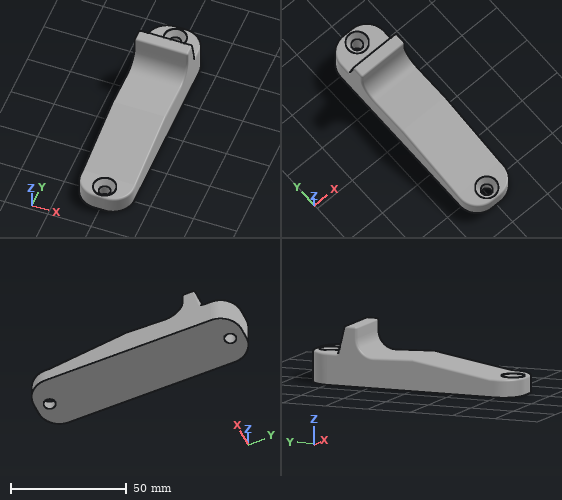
import cadquery as cq
import math

WIDTH = 25.0
LENGTH = 99.0
HEIGHT = 26.5

BACK_HEIGHT = 14.0
FRONT_HEIGHT = 8.0
CREST_HEIGHT = 14.0
CREST_POSITION = 50.5
RAMP_END = 87.0
LIP_FOOT = 15.0
LIP_TOP_BACK = 18.0
LIP_FRONT = 24.0
CRADLE_RADIUS = 8.0
CRADLE_FLOOR = 13.3
CRADLE_FLAT = 0.3

CORNER_RADIUS = 10.0
EDGE_RADIUS = 1.0
LIP_FOOT_RADIUS = 1.0

HOLE_DIAMETER = 5.2
COUNTERSINK_DIAMETER = 10.2
COUNTERSINK_ANGLE = 90.0
COUNTERSINK_RIM = 0.3
HOLE_END_DISTANCE = 6.5

TOLERANCE = 0.01
BACK_Y = LENGTH / 2


def y_at(distance):
    """Y coordinate of a point at the given distance from the back end."""
    return BACK_Y - distance


def make_blank():
    """Side profile extruded across the width, before any rounding."""
    cradle_center_y = y_at(LIP_FRONT + CRADLE_RADIUS)
    cradle_center_z = CRADLE_FLOOR + CRADLE_RADIUS
    diagonal = CRADLE_RADIUS * math.sqrt(0.5)
    return (
        cq.Workplane("YZ")
        .moveTo(y_at(0), 0)
        .lineTo(y_at(0), BACK_HEIGHT)
        .lineTo(y_at(LIP_FOOT), BACK_HEIGHT)
        .lineTo(y_at(LIP_TOP_BACK), HEIGHT)
        .lineTo(y_at(LIP_FRONT), HEIGHT)
        .lineTo(y_at(LIP_FRONT), cradle_center_z)
        .threePointArc(
            (cradle_center_y + diagonal, cradle_center_z - diagonal),
            (cradle_center_y, CRADLE_FLOOR),
        )
        .lineTo(cradle_center_y - CRADLE_FLAT, CRADLE_FLOOR)
        .lineTo(y_at(CREST_POSITION), CREST_HEIGHT)
        .lineTo(y_at(RAMP_END), FRONT_HEIGHT)
        .lineTo(y_at(LENGTH), FRONT_HEIGHT)
        .lineTo(y_at(LENGTH), 0)
        .close()
        .extrude(WIDTH / 2, both=True)
    )


def edge_across(body, distance, height):
    """The edge running across the width at one point of the side profile."""
    y = y_at(distance)
    return body.edges(
        cq.selectors.BoxSelector(
            (-WIDTH, y - TOLERANCE, height - TOLERANCE),
            (WIDTH, y + TOLERANCE, height + TOLERANCE),
        )
    )


def round_corners(body):
    """Round the four vertical corners of the footprint."""
    footprint = (
        cq.Workplane("XY")
        .rect(WIDTH, LENGTH)
        .extrude(HEIGHT)
        .edges("|Z")
        .fillet(CORNER_RADIUS)
    )
    return body.intersect(footprint)


def round_upper_edges(body):
    """Round the foot and the top of the lip, then both upper side outlines."""
    body = edge_across(body, LIP_FOOT, BACK_HEIGHT).fillet(LIP_FOOT_RADIUS)
    body = body.faces(">Z").edges("|X").fillet(EDGE_RADIUS)
    upper_edges = body.edges(
        cq.selectors.BoxSelector(
            (-WIDTH, -LENGTH, FRONT_HEIGHT - TOLERANCE),
            (WIDTH, LENGTH, HEIGHT + TOLERANCE),
        )
    )
    return upper_edges.edges("not(|X)").fillet(EDGE_RADIUS)


def countersunk_hole(distance, top_height):
    """Cutter for a countersunk through hole opening at the given height."""
    hole_radius = HOLE_DIAMETER / 2
    sink_radius = COUNTERSINK_DIAMETER / 2
    cone_depth = (sink_radius - hole_radius) / math.tan(math.radians(COUNTERSINK_ANGLE / 2))
    cone_top = top_height - COUNTERSINK_RIM
    half_section = (
        cq.Workplane("XZ")
        .lineTo(hole_radius, 0)
        .lineTo(hole_radius, cone_top - cone_depth)
        .lineTo(sink_radius, cone_top)
        .lineTo(sink_radius, top_height)
        .lineTo(0, top_height)
        .close()
    )
    return half_section.revolve().translate((0, y_at(distance), 0))


rounded_body = round_upper_edges(round_corners(make_blank()))
back_hole = countersunk_hole(HOLE_END_DISTANCE, BACK_HEIGHT)
front_hole = countersunk_hole(LENGTH - HOLE_END_DISTANCE, FRONT_HEIGHT)
result = rounded_body.cut(back_hole).cut(front_hole)